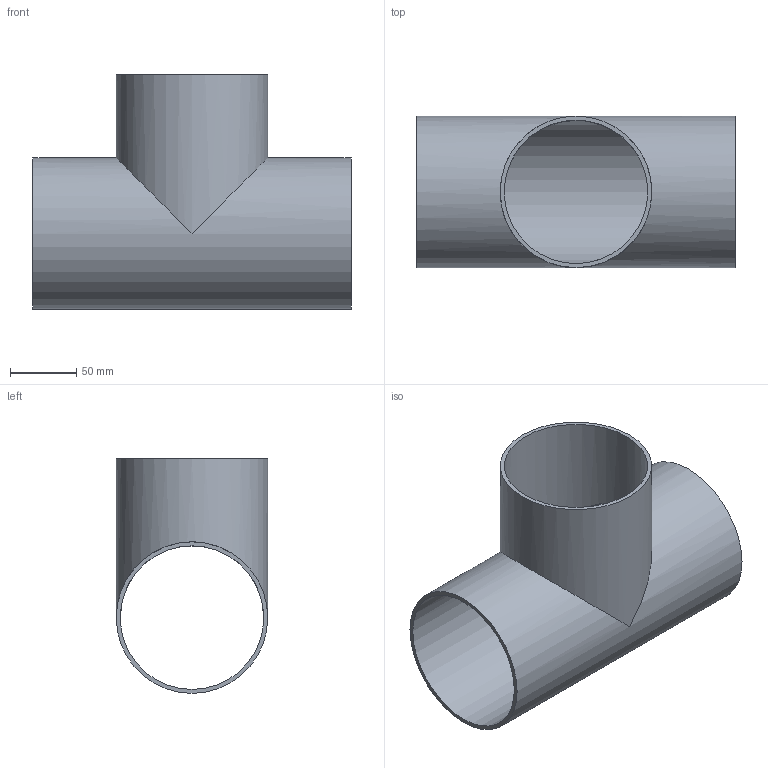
import cadquery as cq

outer_diameter = 114.3
wall_thickness = 3.0
inner_diameter = outer_diameter - 2 * wall_thickness
centre_to_end = 120.0
run_length = 2 * centre_to_end


def tee_of_cylinders(diameter):
    """Solid run and branch of one diameter, joined where their axes cross."""
    run = cq.Workplane("YZ").circle(diameter / 2).extrude(run_length / 2, both=True)
    branch = cq.Workplane("XY").circle(diameter / 2).extrude(centre_to_end)
    return run.union(branch)


outer_body = tee_of_cylinders(outer_diameter)
bore = tee_of_cylinders(inner_diameter)

result = outer_body.cut(bore)